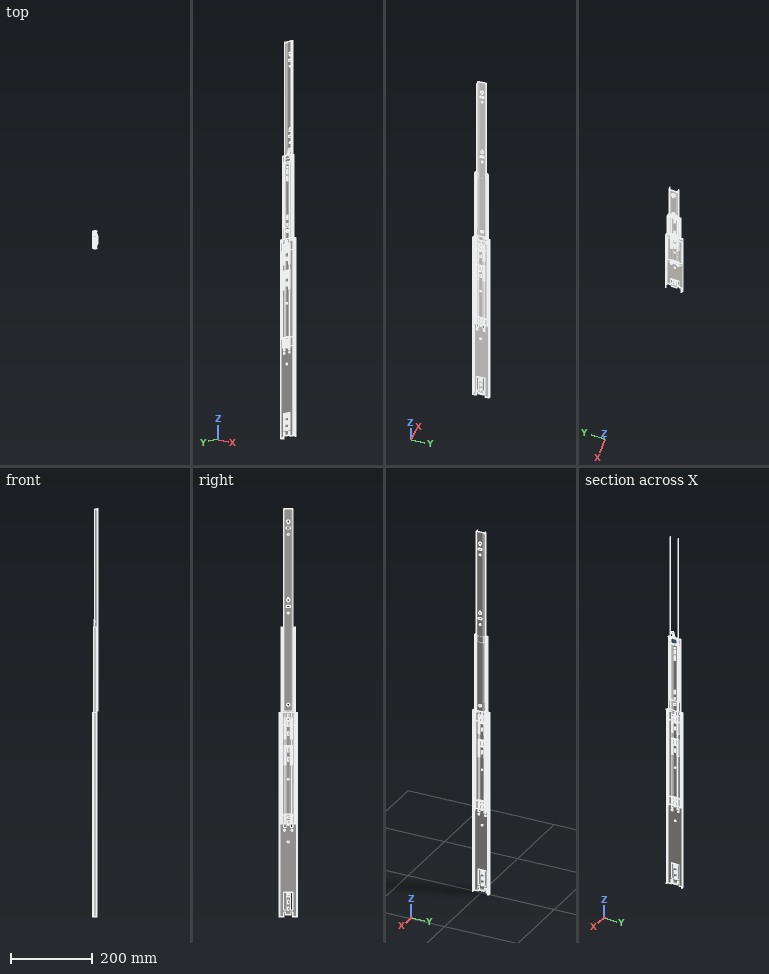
import cadquery as cq
import math


TOTAL_DEPTH = 12.3
TOTAL_WIDTH = 45.7
TOTAL_LENGTH = 1000.0
SHEET = 1.2

OUTER_TOP = 500.0
MIDDLE_BOTTOM = 228.0
MIDDLE_TOP = 710.5
INNER_BOTTOM = 504.0

CURVE_END = 8.0
LIP_X = 11.0

OUTER_CORNER = 1.5
BULGE_HEIGHT = 0.95
OUTER_WALL = TOTAL_WIDTH / 2 - BULGE_HEIGHT
BULGE_START = 3.0
OUTER_LIP_TURN_IN = 0.8

MIDDLE_BACK = 2.0
MIDDLE_WALL = 17.3
MIDDLE_CORNER = 1.0
GROOVE_START = 3.3
GROOVE_DEPTH = 0.9
MIDDLE_LIP_TURN_IN = 2.2
VEE_CENTRE = 7.5
VEE_HALF_WIDTH = 3.0
VEE_DEPTH = 0.5

INNER_BACK = 4.2
INNER_WALL = 11.9
INNER_CORNER = 3.2
INNER_HOLLOW_CORNER = 1.5
INNER_END_RADIUS = 4.0

LEG_CENTRE = 8.3
LEG_WIDTH = 4.5
SPLIT_WIDTH = 3.2
CREASE_HEIGHT = 2.0
CREASE_DEPTH = 0.4
TONGUES = [
    (487.5, 52.0, 5.5, (466.5, 478.0), 465.5, (444.5, 453.5)),
    (420.0, 48.0, 3.0, (403.5, 415.0), 401.2, (381.0, 391.0)),
    (252.5, 33.5, 3.0, (241.5, 246.0), 240.5, (224.5, 236.5)),
    (60.0, 43.0, 3.0, (50.6, 54.0), 49.6, (32.0, 41.0)),
]
FOOT_SLOT_RANGE = (16.5, 23.5)
SLOT_WIDTH = 3.4

MOUNT_HOLE = 4.0
MOUNT_HOLES_Z = (337.0, 184.0)
SIDE_HOLE_Z = 212.3
SIDE_HOLE_Y = 9.0
TOP_SLOT_RANGE = (488.5, 497.0)
SCORE_BOTTOM = 493.3
SCORE_HEIGHT = 2.7
SCORE_INNER_Y = 12.5
SCORE_DEPTH = 0.3
NOTCH_HALF_WIDTH = 11.0
NOTCH_RELIEF_TOP = 12.0
FOOT_LIP_Z = 4.5
FOOT_LIP_DEPTH = 5.0
FOOT_LIP_HALF_WIDTH = 7.0
FOOT_LIP_RADIUS = 2.5

ACCESS_HOLE = 7.0
ACCESS_HOLE_Z = 519.6
MIDDLE_LOWER_HOLE_Z = 483.7
MIDDLE_ROUND_HOLES_Z = (680.7, 536.2)
MIDDLE_SLOT_RANGES = [(663.5, 674.0), (645.5, 658.5), (549.0, 559.5)]
INNER_HOLE_GROUPS = [(968.4, -1, 952.2, 936.7), (775.6, 1, 760.5, 744.0)]
KEYHOLE_DIAMETER = 7.0
KEYHOLE_TAIL_WIDTH = 2.0
KEYHOLE_TAIL_REACH = 6.0
WIDE_SLOT_LENGTH = 10.0
WIDE_SLOT_HEIGHT = 4.5

RETAINER_SHEET = 0.5
RETAINER_DEPTH_END = 9.0
OUTER_RETAINER_BACK = 1.35
OUTER_RETAINER_WALL = 19.4
OUTER_RETAINER_Z = (250.0, 470.0)
INNER_RETAINER_BACK = 3.4
INNER_RETAINER_WALL = 13.3
INNER_RETAINER_Z = (530.0, 690.0)

BUMPER_BOTTOM = 694.0
BUMPER_HALF_WIDTH = 15.2
BUMPER_BLOCK_HALF_WIDTH = 9.5
BUMPER_FRONT = 9.0
LATCH_BACK = MIDDLE_BACK + SHEET
LATCH_THICKNESS = 2.0
LATCH_BASE_Z = 702.0
LATCH_BASE_HALF_WIDTH = 9.1
LATCH_NECK_HALF_WIDTH = 4.5
LATCH_LEVER = [
    (LATCH_NECK_HALF_WIDTH, MIDDLE_TOP),
    (0, 714.5),
    (-2.0, 723.5),
    (-4.5, 728.0),
    (-9.8, 725.5),
    (-9.8, 721.5),
    (-5.5, 720.5),
    (-LATCH_NECK_HALF_WIDTH, MIDDLE_TOP),
]


def box(x_range, y_range, z_range):
    sizes = [high - low for low, high in (x_range, y_range, z_range)]
    corner = (x_range[0], y_range[0], z_range[0])
    return cq.Workplane("XY").box(*sizes, centered=False).translate(corner)


def round_hole(diameter, z, y=0.0):
    """A cutter along X through the whole depth."""
    return cq.Workplane("YZ").center(y, z).circle(diameter / 2).extrude(TOTAL_DEPTH)


def long_hole(width, z_range):
    """A round-ended cutter along X, lengthwise in Z."""
    low, high = z_range
    sketch = cq.Workplane("YZ").center(0, (low + high) / 2)
    return sketch.slot2D(high - low, width, 90).extrude(TOTAL_DEPTH)


def cross_slot(length, height, z):
    """A round-ended cutter along X, lengthwise in Y."""
    return cq.Workplane("YZ").center(0, z).slot2D(length, height).extrude(TOTAL_DEPTH)


def track_prism(back, wall, curve_start, curve_height, lip_turn_in, z_range):
    """Solid bar whose two sides carry a lengthwise ball track: an arc out (+) or in (-)."""
    curve_middle = ((curve_start + CURVE_END) / 2, wall + curve_height)
    lip_y = wall - lip_turn_in
    return (
        cq.Workplane("XY")
        .workplane(offset=z_range[0])
        .moveTo(back, wall)
        .lineTo(curve_start, wall)
        .threePointArc(curve_middle, (CURVE_END, wall))
        .lineTo(LIP_X, lip_y)
        .lineTo(LIP_X, -lip_y)
        .lineTo(CURVE_END, -wall)
        .threePointArc((curve_middle[0], -curve_middle[1]), (curve_start, -wall))
        .lineTo(back, -wall)
        .close()
        .extrude(z_range[1] - z_range[0])
    )


def track_channel(back, wall, corner, curve_start, curve_height, lip_turn_in, z_range):
    """Sheet-metal C channel, open towards +X, with ball tracks in its side walls."""
    track = (curve_start, curve_height, lip_turn_in, z_range)
    channel = track_prism(back, wall, *track).edges("|Z and <X").fillet(corner)
    return channel.cut(track_prism(back + SHEET, wall - SHEET, *track))


def tongue_cutter(top, length, bar_height, split_range, crease_z, slot_range):
    """U-shaped slot, split, crease and mounting slot that form one spring tongue in the web."""
    through = (0, SHEET)
    leg_outer = LEG_CENTRE + LEG_WIDTH / 2
    cutter = box(through, (-leg_outer, leg_outer), (top - bar_height, top))
    for side in (-1, 1):
        leg_y = side * LEG_CENTRE
        leg_range = (leg_y - LEG_WIDTH / 2, leg_y + LEG_WIDTH / 2)
        cutter = cutter.union(box(through, leg_range, (top - length, top)))
    crease_range = (crease_z - CREASE_HEIGHT / 2, crease_z + CREASE_HEIGHT / 2)
    crease = box((0, CREASE_DEPTH), (-LEG_CENTRE, LEG_CENTRE), crease_range)
    split = box(through, (-SPLIT_WIDTH / 2, SPLIT_WIDTH / 2), split_range)
    return cutter.union(crease).union(split).union(long_hole(SLOT_WIDTH, slot_range))


def foot_lip():
    """Strip at the bottom of the web, bent forward through a rounded corner."""
    inner_radius = FOOT_LIP_RADIUS - SHEET
    diagonal = math.sqrt(0.5)
    bend_z = FOOT_LIP_Z + FOOT_LIP_RADIUS
    outer_middle = (FOOT_LIP_RADIUS * (1 - diagonal), bend_z - FOOT_LIP_RADIUS * diagonal)
    inner_middle = (FOOT_LIP_RADIUS - inner_radius * diagonal, bend_z - inner_radius * diagonal)
    return (
        cq.Workplane("XZ")
        .moveTo(0, NOTCH_RELIEF_TOP)
        .lineTo(0, bend_z)
        .threePointArc(outer_middle, (FOOT_LIP_RADIUS, FOOT_LIP_Z))
        .lineTo(FOOT_LIP_DEPTH, FOOT_LIP_Z)
        .lineTo(FOOT_LIP_DEPTH, FOOT_LIP_Z + SHEET)
        .lineTo(FOOT_LIP_RADIUS, FOOT_LIP_Z + SHEET)
        .threePointArc(inner_middle, (SHEET, bend_z))
        .lineTo(SHEET, NOTCH_RELIEF_TOP)
        .close()
        .extrude(FOOT_LIP_HALF_WIDTH, both=True)
    )


def make_outer_member():
    z_range = (0, OUTER_TOP)
    member = track_channel(
        0, OUTER_WALL, OUTER_CORNER, BULGE_START, BULGE_HEIGHT, OUTER_LIP_TURN_IN, z_range
    )
    for tongue in TONGUES:
        member = member.cut(tongue_cutter(*tongue))
    member = member.cut(long_hole(SLOT_WIDTH, FOOT_SLOT_RANGE))
    member = member.cut(long_hole(SLOT_WIDTH, TOP_SLOT_RANGE))
    for z in MOUNT_HOLES_Z:
        member = member.cut(round_hole(MOUNT_HOLE, z))
    score_z = (SCORE_BOTTOM, SCORE_BOTTOM + SCORE_HEIGHT)
    for side in (-1, 1):
        member = member.cut(round_hole(MOUNT_HOLE, SIDE_HOLE_Z, side * SIDE_HOLE_Y))
        score_y = sorted((side * SCORE_INNER_Y, side * OUTER_WALL))
        member = member.cut(box((0, SCORE_DEPTH), score_y, score_z))
    notch_y = (-NOTCH_HALF_WIDTH, NOTCH_HALF_WIDTH)
    member = member.cut(box((0, SHEET), notch_y, (0, NOTCH_RELIEF_TOP)))
    return member.union(foot_lip())


def make_middle_member():
    z_range = (MIDDLE_BOTTOM, MIDDLE_TOP)
    member = track_channel(
        MIDDLE_BACK,
        MIDDLE_WALL,
        MIDDLE_CORNER,
        GROOVE_START,
        -GROOVE_DEPTH,
        MIDDLE_LIP_TURN_IN,
        z_range,
    )
    for side in (-1, 1):
        vee = (
            cq.Workplane("XY")
            .workplane(offset=MIDDLE_BOTTOM)
            .moveTo(MIDDLE_BACK, side * (VEE_CENTRE - VEE_HALF_WIDTH))
            .lineTo(MIDDLE_BACK + VEE_DEPTH, side * VEE_CENTRE)
            .lineTo(MIDDLE_BACK, side * (VEE_CENTRE + VEE_HALF_WIDTH))
            .close()
            .extrude(MIDDLE_TOP - MIDDLE_BOTTOM)
        )
        member = member.cut(vee)
    for z in (ACCESS_HOLE_Z, MIDDLE_LOWER_HOLE_Z):
        member = member.cut(round_hole(ACCESS_HOLE, z))
    for z in MIDDLE_ROUND_HOLES_Z:
        member = member.cut(round_hole(MOUNT_HOLE, z))
    for slot_range in MIDDLE_SLOT_RANGES:
        member = member.cut(long_hole(SLOT_WIDTH, slot_range))
    seat_x = (MIDDLE_BACK, MIDDLE_BACK + SHEET)
    seat_y = (-BUMPER_HALF_WIDTH, BUMPER_HALF_WIDTH)
    return member.cut(box(seat_x, seat_y, (BUMPER_BOTTOM, MIDDLE_TOP)))


def make_inner_member():
    z_range = (INNER_BOTTOM, TOTAL_LENGTH)
    member = box((INNER_BACK, TOTAL_DEPTH), (-INNER_WALL, INNER_WALL), z_range)
    member = member.edges("|Z and >X").fillet(INNER_CORNER)
    hollow_wall = INNER_WALL - SHEET
    hollow = box((INNER_BACK, TOTAL_DEPTH - SHEET), (-hollow_wall, hollow_wall), z_range)
    member = member.cut(hollow.edges("|Z and >X").fillet(INNER_HOLLOW_CORNER))
    end_shape = box((0, TOTAL_DEPTH), (-INNER_WALL, INNER_WALL), z_range)
    member = member.intersect(end_shape.edges("|X and >Z").fillet(INNER_END_RADIUS))
    for keyhole_z, tail, wide_slot_z, hole_z in INNER_HOLE_GROUPS:
        tail_z = sorted((keyhole_z, keyhole_z + tail * KEYHOLE_TAIL_REACH))
        tail_y = (-KEYHOLE_TAIL_WIDTH / 2, KEYHOLE_TAIL_WIDTH / 2)
        member = member.cut(round_hole(KEYHOLE_DIAMETER, keyhole_z))
        member = member.cut(box((0, TOTAL_DEPTH), tail_y, tail_z))
        member = member.cut(cross_slot(WIDE_SLOT_LENGTH, WIDE_SLOT_HEIGHT, wide_slot_z))
        member = member.cut(round_hole(MOUNT_HOLE, hole_z))
    return member.cut(round_hole(ACCESS_HOLE, ACCESS_HOLE_Z))


def make_retainer(back, wall, z_range):
    """Thin C-shaped cage strip that runs between two members."""
    inner_wall = wall - RETAINER_SHEET
    cage = box((back, RETAINER_DEPTH_END), (-wall, wall), z_range)
    return cage.cut(box((back + RETAINER_SHEET, RETAINER_DEPTH_END), (-inner_wall, inner_wall), z_range))


def latch_base():
    """Tapered foot of the latch; its seat in the bumper has the same outline."""
    return (
        cq.Workplane("YZ")
        .workplane(offset=MIDDLE_BACK)
        .moveTo(-LATCH_BASE_HALF_WIDTH, LATCH_BASE_Z)
        .lineTo(LATCH_BASE_HALF_WIDTH, LATCH_BASE_Z)
        .lineTo(LATCH_NECK_HALF_WIDTH, MIDDLE_TOP)
        .lineTo(-LATCH_NECK_HALF_WIDTH, MIDDLE_TOP)
        .close()
        .extrude(LATCH_BACK + LATCH_THICKNESS - MIDDLE_BACK)
    )


def make_bumper():
    z_range = (BUMPER_BOTTOM, MIDDLE_TOP)
    plate = box((MIDDLE_BACK, LATCH_BACK), (-BUMPER_HALF_WIDTH, BUMPER_HALF_WIDTH), z_range)
    block_y = (-BUMPER_BLOCK_HALF_WIDTH, BUMPER_BLOCK_HALF_WIDTH)
    block = box((MIDDLE_BACK, BUMPER_FRONT), block_y, z_range)
    return plate.union(block).cut(latch_base())


def make_latch():
    lever = (
        cq.Workplane("YZ")
        .workplane(offset=LATCH_BACK)
        .polyline(LATCH_LEVER)
        .close()
        .extrude(LATCH_THICKNESS)
    )
    return latch_base().union(lever)


outer_member = make_outer_member()
middle_member = make_middle_member()
inner_member = make_inner_member()
outer_retainer = make_retainer(OUTER_RETAINER_BACK, OUTER_RETAINER_WALL, OUTER_RETAINER_Z)
inner_retainer = make_retainer(INNER_RETAINER_BACK, INNER_RETAINER_WALL, INNER_RETAINER_Z)
bumper = make_bumper()
latch = make_latch()

bodies = (outer_member, middle_member, inner_member, outer_retainer, inner_retainer, bumper, latch)
result = cq.Compound.makeCompound([body.solids().val() for body in bodies])